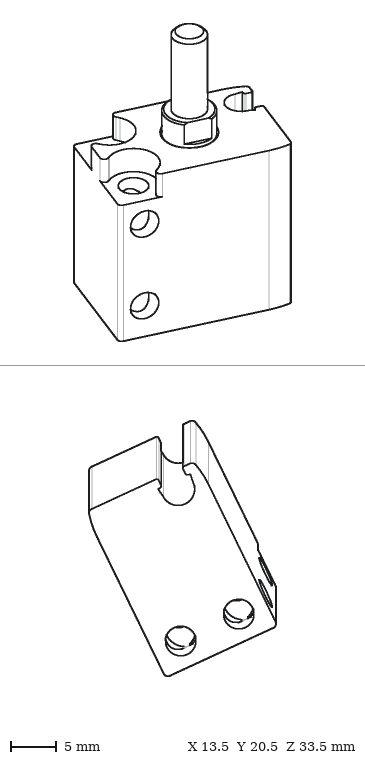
import cadquery as cq
import math

width = 13.5
depth = 20.5
height = 20.5
half_width = width / 2
front_y = -11.0
back_y = front_y + depth
corner_radius = 0.5

taper_length = 2.9
taper_radius = 10.0

hole_diameter = 3.3
hole_spacing = 7.0
hole_x = hole_spacing / 2
hole_y = front_y + 3.0
cross_hole_heights = (4.0, 14.5)

recess_diameter = 5.8
recess_radius = recess_diameter / 2
recess_depth = 2.98
lobe_radius = 0.5

slot_x = -3.52
slot_mouth_half_width = 1.47
slot_lip_length = 1.0
slot_shoulder_half_width = 1.95
slot_shoulder_depth = 1.1
slot_round_radius = 1.8
slot_depth = 3.85
slot_lip_radius = 0.2

overall_height = 33.5
rod_diameter = 4.0
rod_chamfer = 0.45
collar_diameter = 6.0
collar_top = height + 2.98
collar_chamfer = 0.2
across_flats = 5.02
flat_bottom = height + 0.3
bore_depth = 10.0
bore_chamfer = 0.2


def make_block():
    """Block with curved tapers at the back and rounded vertical corners."""
    taper_inset = taper_radius - math.sqrt(taper_radius**2 - taper_length**2)
    middle_drop = taper_length / 2
    middle_inset = taper_radius - math.sqrt(taper_radius**2 - middle_drop**2)
    taper_start_y = back_y - taper_length
    taper_middle_y = back_y - middle_drop
    back_half_width = half_width - taper_inset
    block = (
        cq.Workplane("XY")
        .moveTo(-half_width, front_y)
        .lineTo(half_width, front_y)
        .lineTo(half_width, taper_start_y)
        .threePointArc((half_width - middle_inset, taper_middle_y), (back_half_width, back_y))
        .lineTo(-back_half_width, back_y)
        .threePointArc((middle_inset - half_width, taper_middle_y), (-half_width, taper_start_y))
        .close()
        .extrude(height)
    )
    return block.edges("|Z and (<Y or >Y)").fillet(corner_radius)


def make_slot():
    """Round-bottomed slot whose mouth is narrowed by two rounded lips."""
    lip_y = back_y - slot_lip_length
    shoulder_y = back_y - slot_shoulder_depth
    bottom_y = back_y - slot_depth
    round_y = bottom_y + slot_round_radius
    return (
        cq.Workplane("XY")
        .moveTo(slot_x - slot_mouth_half_width, back_y)
        .lineTo(slot_x - slot_mouth_half_width, lip_y)
        .lineTo(slot_x - slot_shoulder_half_width, shoulder_y)
        .lineTo(slot_x - slot_round_radius, round_y)
        .threePointArc((slot_x, bottom_y), (slot_x + slot_round_radius, round_y))
        .lineTo(slot_x + slot_shoulder_half_width, shoulder_y)
        .lineTo(slot_x + slot_mouth_half_width, lip_y)
        .lineTo(slot_x + slot_mouth_half_width, back_y)
        .close()
        .extrude(height)
    )


def round_slot_lips(body):
    """Round the corners of both lips at the slot mouth."""
    for side in (-1, 1):
        for edge_y in (back_y, back_y - slot_lip_length):
            corner = (slot_x + side * slot_mouth_half_width, edge_y, height / 2)
            body = body.edges(cq.NearestToPointSelector(corner)).fillet(slot_lip_radius)
    return body


def make_left_recess():
    """Corner recess around the left hole, ending in round lobes tangent to the two outer faces."""
    reach = (recess_radius + lobe_radius) * math.sqrt(2)
    front_lobe_y = front_y + lobe_radius
    front_lobe_x = -hole_x + reach - (hole_y - front_lobe_y)
    side_lobe_x = -half_width + lobe_radius
    side_lobe_y = hole_y + reach - (-hole_x - side_lobe_x)

    recess_step = recess_radius / math.sqrt(2)
    lobe_step = lobe_radius / math.sqrt(2)

    return (
        cq.Workplane("XY", origin=(0, 0, height - recess_depth))
        .moveTo(-half_width, front_y)
        .lineTo(front_lobe_x, front_y)
        .threePointArc(
            (front_lobe_x - lobe_radius, front_lobe_y),
            (front_lobe_x - lobe_step, front_lobe_y + lobe_step),
        )
        .lineTo(-hole_x + recess_step, hole_y - recess_step)
        .threePointArc(
            (-hole_x + recess_step, hole_y + recess_step),
            (-hole_x - recess_step, hole_y + recess_step),
        )
        .lineTo(side_lobe_x + lobe_step, side_lobe_y - lobe_step)
        .threePointArc((side_lobe_x, side_lobe_y - lobe_radius), (-half_width, side_lobe_y))
        .close()
        .extrude(recess_depth)
    )


def make_housing():
    body = round_slot_lips(make_block().cut(make_slot()))

    recess = make_left_recess()
    body = body.cut(recess).cut(recess.mirror("YZ"))

    hole_radius = hole_diameter / 2
    upright_holes = (
        cq.Workplane("XY")
        .pushPoints([(-hole_x, hole_y), (hole_x, hole_y)])
        .circle(hole_radius)
        .extrude(height)
    )

    cross_holes = (
        cq.Workplane("YZ", origin=(-half_width, 0, 0))
        .pushPoints([(hole_y, z) for z in cross_hole_heights])
        .circle(hole_radius)
        .extrude(width)
    )

    bore_radius = collar_diameter / 2
    bore = cq.Workplane("XY", origin=(0, 0, height - bore_depth)).circle(bore_radius).extrude(bore_depth)
    rim = cq.Workplane(
        cq.Solid.makeCone(
            bore_radius,
            bore_radius + bore_chamfer,
            bore_chamfer,
            pnt=cq.Vector(0, 0, height - bore_chamfer),
        )
    )
    return body.cut(upright_holes).cut(cross_holes).cut(bore).cut(rim)


def make_rod():
    """Rod on a collar that has two wrench flats facing -X and +X."""
    collar_bottom = height - bore_depth
    collar = (
        cq.Workplane("XY", origin=(0, 0, collar_bottom))
        .circle(collar_diameter / 2)
        .extrude(collar_top - collar_bottom)
        .faces(">Z")
        .chamfer(collar_chamfer)
    )
    flat_height = collar_top - flat_bottom
    flat_cut_depth = (collar_diameter - across_flats) / 2
    flat_cut_x = (across_flats + flat_cut_depth) / 2
    flat_cuts = (
        cq.Workplane("XY", origin=(0, 0, flat_bottom))
        .pushPoints([(-flat_cut_x, 0), (flat_cut_x, 0)])
        .rect(flat_cut_depth, collar_diameter)
        .extrude(flat_height)
    )
    shaft = (
        cq.Workplane("XY", origin=(0, 0, collar_top))
        .circle(rod_diameter / 2)
        .extrude(overall_height - collar_top)
        .faces(">Z")
        .chamfer(rod_chamfer)
    )
    return collar.cut(flat_cuts).union(shaft)


housing = make_housing()
rod = make_rod()

result = cq.Compound.makeCompound([housing.solids().val(), rod.solids().val()])